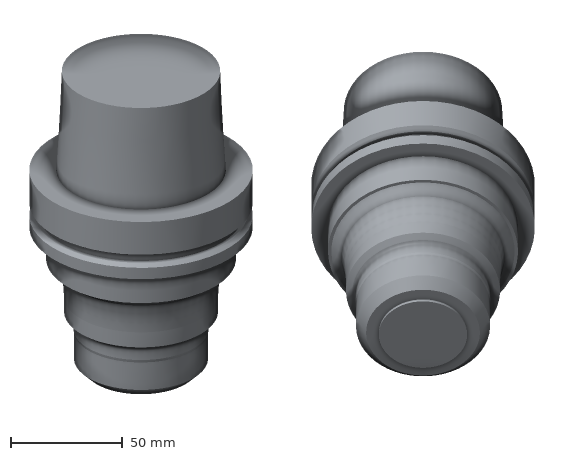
import cadquery as cq

total_height = 151.6
flange_top = 101.5
flange_bottom = 72.6
collar_bottom = 56.5
flare_top = 52.2
flare_bottom = 37.5
band_bottom = 29.9
shoulder_cone_bottom = 28.0
neck_top = 26.0
neck_bottom = 21.2
nose_top = 19.9
nose_chamfer_height = 4.5
end_disc_height = 1.4

taper_top_diameter = 71.0
taper_middle_diameter = 73.0
taper_base_diameter = 76.0
flange_diameter = 100.0
groove_diameter = 92.0
collar_diameter = 85.0
collar_cone_diameter = 82.0
flare_top_diameter = 73.0
band_diameter = 69.0
shoulder_cone_diameter = 63.4
neck_diameter = 60.6
nose_diameter = 60.0
end_disc_diameter = 39.5

groove_top = 83.5
groove_bottom = 79.7
upper_rim_bevel_height = 1.5
lower_rim_bevel_height = 1.4
rim_bevel_width = 2.3

flange_radius = flange_diameter / 2
groove_radius = groove_diameter / 2
rim_radius = flange_radius - rim_bevel_width
flare_top_radius = flare_top_diameter / 2
band_radius = band_diameter / 2
nose_radius = nose_diameter / 2
shoulder_cone_radius = shoulder_cone_diameter / 2
neck_radius = neck_diameter / 2

profile = (
    cq.Workplane("XZ")
    .moveTo(0, 0)
    .lineTo(end_disc_diameter / 2, 0)
    .lineTo(end_disc_diameter / 2, end_disc_height)
    .lineTo(nose_radius - nose_chamfer_height, end_disc_height)
    .lineTo(nose_radius, end_disc_height + nose_chamfer_height)
    .lineTo(nose_radius, nose_top)
    .lineTo(neck_radius, neck_bottom)
    .lineTo(neck_radius, neck_top)
    .tangentArcPoint((shoulder_cone_radius, shoulder_cone_bottom), relative=False)
    .lineTo(band_radius, band_bottom)
    .lineTo(band_radius, flare_bottom)
    .tangentArcPoint((flare_top_radius, flare_top), relative=False)
    .lineTo(collar_cone_diameter / 2, collar_bottom)
    .lineTo(collar_diameter / 2, collar_bottom)
    .lineTo(collar_diameter / 2, flange_bottom)
    .lineTo(flange_radius, flange_bottom)
    .lineTo(flange_radius, groove_bottom - lower_rim_bevel_height)
    .lineTo(rim_radius, groove_bottom)
    .lineTo(groove_radius, groove_bottom)
    .lineTo(groove_radius, groove_top)
    .lineTo(rim_radius, groove_top)
    .lineTo(flange_radius, groove_top + upper_rim_bevel_height)
    .lineTo(flange_radius, flange_top)
    .lineTo(taper_base_diameter / 2, flange_top)
    .threePointArc(
        (taper_middle_diameter / 2, (flange_top + total_height) / 2),
        (taper_top_diameter / 2, total_height),
    )
    .lineTo(0, total_height)
    .close()
)

result = profile.revolve(360, (0, 0, 0), (0, 1, 0))